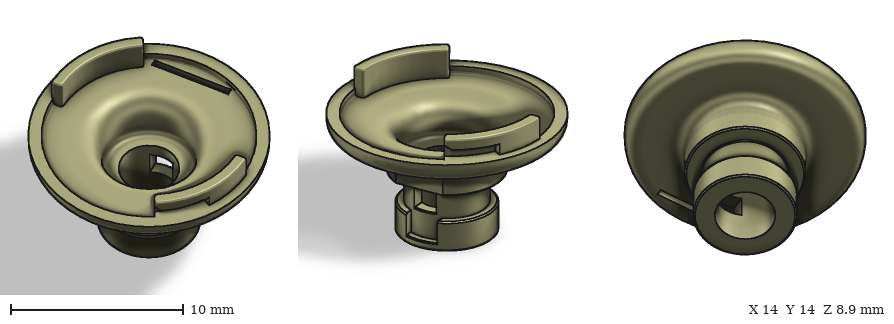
import cadquery as cq
import math

foot_radius = 3.0
foot_top = 1.9
groove_radius = 2.5
hub_radius = 3.5
hub_bottom = 3.8
edge_chamfer = 0.1
neck_chamfer = 0.07
ledge_chamfer = 0.07

disc_radius = 7.0
disc_top = 7.5
disc_thickness = 1.26
disc_edge_radius = 1.0
wall = 0.75
flare_radius = 1.0
dish_floor_fillet = 0.5
bore_radius = 1.75

recess_radius = 6.23
recess_depth = disc_thickness - wall
recess_fillet = 0.2

post_inner_radius = 5.64
post_outer_radius = 6.4
post_height = 1.4
post_angle = 60.0
post_fillet = 0.2
post_end_angles = (120.0, 300.0)
undercut_radius = 5.85
undercut_height = 0.67
undercut_angle = 30.0
lip_ramp_length = 0.46
lip_ramp_angle = 30.0

disc_slot_length = 4.95
disc_slot_width = 0.38
disc_slot_y = 5.45
hub_slot_width = 3.25
hub_slot_floor = 3.0
hub_slot_ramp_start = 5.11
hub_slot_ramp_end = 3.88
foot_slot_width = 2.1
foot_slot_bottom = 0.5
window_width = 1.5
window_bottom = 2.2

disc_bottom = disc_top - disc_thickness
recess_floor = disc_top - recess_depth
flare_center_r = hub_radius + flare_radius
flare_center_z = disc_bottom - flare_radius
dish_radius = flare_radius + wall
dish_neck_radius = flare_center_r - dish_radius
dish_floor = hub_bottom + wall
diagonal = math.sqrt(0.5)


def arc_mid(center_r, center_z, radius, side_r, side_z):
    """Midpoint of a quarter arc lying toward (side_r, side_z) from its center."""
    return (center_r + side_r * radius * diagonal, center_z + side_z * radius * diagonal)


def turned_body():
    disc_edge_r = disc_radius - disc_edge_radius
    disc_edge_z = disc_bottom + disc_edge_radius
    floor_corner_r = dish_neck_radius - dish_floor_fillet
    floor_corner_z = dish_floor + dish_floor_fillet
    recess_corner_r = recess_radius - recess_fillet
    recess_corner_z = recess_floor + recess_fillet
    profile = (
        cq.Workplane("XZ")
        .moveTo(bore_radius, 0)
        .lineTo(foot_radius - edge_chamfer, 0)
        .lineTo(foot_radius, edge_chamfer)
        .lineTo(foot_radius, foot_top - edge_chamfer)
        .lineTo(foot_radius - edge_chamfer, foot_top)
        .lineTo(groove_radius, foot_top)
        .lineTo(groove_radius, hub_bottom - neck_chamfer)
        .lineTo(groove_radius + neck_chamfer, hub_bottom)
        .lineTo(hub_radius - edge_chamfer, hub_bottom)
        .lineTo(hub_radius, hub_bottom + edge_chamfer)
        .lineTo(hub_radius, flare_center_z)
        .threePointArc(
            arc_mid(flare_center_r, flare_center_z, flare_radius, -1, 1),
            (flare_center_r, disc_bottom),
        )
        .lineTo(disc_edge_r, disc_bottom)
        .threePointArc(
            arc_mid(disc_edge_r, disc_edge_z, disc_edge_radius, 1, -1),
            (disc_radius, disc_edge_z),
        )
        .lineTo(disc_radius, disc_top)
        .lineTo(recess_radius, disc_top)
        .lineTo(recess_radius, recess_corner_z)
        .threePointArc(
            arc_mid(recess_corner_r, recess_corner_z, recess_fillet, 1, -1),
            (recess_corner_r, recess_floor),
        )
        .lineTo(flare_center_r, recess_floor)
        .threePointArc(
            arc_mid(flare_center_r, flare_center_z, dish_radius, -1, 1),
            (dish_neck_radius, flare_center_z),
        )
        .lineTo(dish_neck_radius, floor_corner_z)
        .threePointArc(
            arc_mid(floor_corner_r, floor_corner_z, dish_floor_fillet, 1, -1),
            (floor_corner_r, dish_floor),
        )
        .lineTo(bore_radius, dish_floor)
        .close()
    )
    return profile.revolve(360, (0, 0, 0), (0, 1, 0))


def ring_sector(inner, outer, bottom, top, angle):
    """Part of a ring that starts on the +X axis and sweeps counterclockwise."""
    return (
        cq.Workplane("XZ")
        .moveTo(inner, bottom)
        .lineTo(outer, bottom)
        .lineTo(outer, top)
        .lineTo(inner, top)
        .close()
        .revolve(angle, (0, 0, 0), (0, 1, 0))
    )


def undercut():
    """Space under the lip, with a roof that ramps up toward the end on the +X axis."""
    lip_bottom = disc_top + undercut_height
    ramp_top = lip_bottom + lip_ramp_length * math.tan(math.radians(lip_ramp_angle))
    space = ring_sector(undercut_radius, disc_radius, disc_top, ramp_top, undercut_angle)
    roof = (
        cq.Workplane("YZ")
        .moveTo(0, ramp_top)
        .lineTo(lip_ramp_length, lip_bottom)
        .lineTo(disc_radius, lip_bottom)
        .lineTo(disc_radius, ramp_top)
        .close()
        .extrude(disc_radius)
    )
    return space.cut(roof)


def bayonet_post():
    """Post from the +X axis counterclockwise, its first half undercut to leave a lip."""
    body = ring_sector(
        post_inner_radius, post_outer_radius, recess_floor, disc_top + post_height, post_angle
    )
    body = body.edges("|Z or >Z").fillet(post_fillet)
    return body.cut(undercut())


def block(width, y_start, y_end, bottom, top):
    """Box centered on the YZ plane."""
    return (
        cq.Workplane("XY", origin=(0, y_start, bottom))
        .box(width, y_end - y_start, top - bottom, centered=(True, False, False))
    )


def disc_slot():
    half_width = disc_slot_width / 2
    return block(
        disc_slot_length, disc_slot_y - half_width, disc_slot_y + half_width, disc_bottom, disc_top
    )


def hub_slot():
    """Slot in the hub side whose floor ramps outward under the disc."""
    return (
        cq.Workplane("YZ")
        .moveTo(hub_slot_floor, hub_bottom)
        .lineTo(flare_center_r, hub_bottom)
        .lineTo(flare_center_r, disc_bottom)
        .lineTo(hub_slot_ramp_end, disc_bottom)
        .lineTo(hub_slot_floor, hub_slot_ramp_start)
        .close()
        .extrude(hub_slot_width / 2, both=True)
    )


def foot_slot():
    """Slot in the foot side that stops at the groove surface and above the foot's lower rim."""
    slot = block(foot_slot_width, 0, foot_radius, foot_slot_bottom, foot_top)
    core = cq.Workplane("XY").circle(groove_radius).extrude(foot_top)
    return slot.cut(core)


def bore_window():
    """Opening from the bore through the groove wall."""
    return block(window_width, 0, hub_slot_floor, window_bottom, hub_bottom - neck_chamfer)


result = turned_body()
for angle in post_end_angles:
    result = result.union(bayonet_post().rotate((0, 0, 0), (0, 0, 1), angle))
for opening in (disc_slot(), hub_slot(), foot_slot(), bore_window()):
    result = result.cut(opening)

for ledge_point in ((0, foot_radius, foot_slot_bottom), (0, groove_radius, window_bottom)):
    ledge_edge = cq.selectors.NearestToPointSelector(ledge_point)
    result = result.edges(ledge_edge).chamfer(ledge_chamfer)